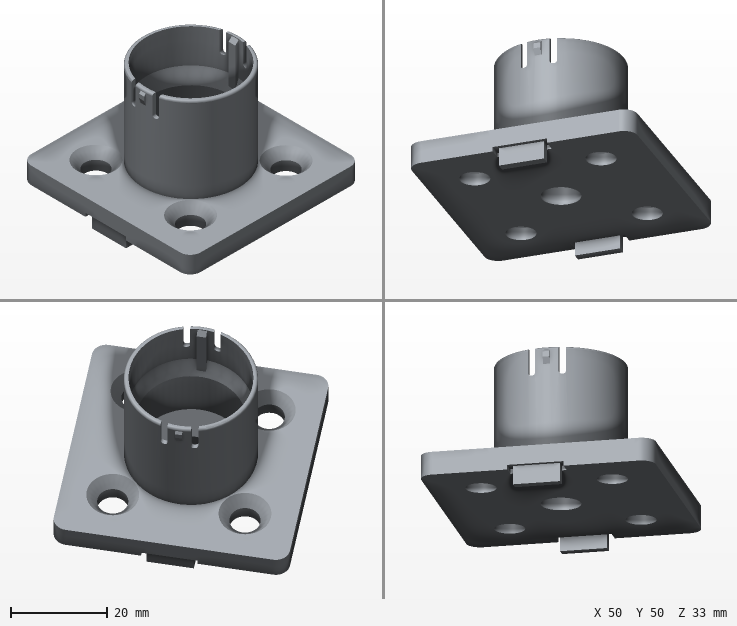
import cadquery as cq

plate_size = 50.0
plate_thickness = 5.0
corner_radius = 3.0

hole_offset = 14.0
hole_diameter = 6.5
countersink_diameter = 11.0
countersink_angle = 90.0

tube_radius = 14.0
tube_top = 30.0
wall = 1.0
rim_round = 0.6
bore_radius = tube_radius - wall
lower_bore_radius = 11.5
cone_top = tube_top - 10.0
cone_bottom = tube_top - 14.0
floor_top = plate_thickness
center_hole_diameter = 8.5

slot_offset = 3.25
slot_width = 1.5
slot_depth = 6.0
slot_corner_radius = 0.65

catch_width = 1.5
catch_reach = 0.5
catch_top = tube_top - 0.65
catch_bottom = tube_top - 3.75
catch_upper_bevel = 0.5
catch_lower_bevel = 1.45

rib_width = 2.0
rib_face = 12.0
rib_top = tube_top - 0.25
rib_bevel = bore_radius - rib_face

tab_width = 10.0
tab_thickness = 2.0
tab_drop = 3.0
tab_outer_face = plate_size / 2 - 1.0
notch_width = 12.0
notch_height = 1.0


def box(width, y_start, y_end, z_start, z_end, x_center=0.0):
    """Box centered on x_center, spanning the given Y and Z ranges."""
    return cq.Workplane("XY").box(
        width, y_end - y_start, z_end - z_start, centered=(True, False, False)
    ).translate((x_center, y_start, z_start))


def yz_prism(points, width):
    """Prism with a YZ outline, centered on X = 0."""
    return cq.Workplane("YZ").polyline(points).close().extrude(width / 2, both=True)


def both_sides(shape):
    """The shape together with its half-turn copy about Z."""
    return shape.union(shape.rotate((0, 0, 0), (0, 0, 1), 180))


def make_plate():
    plate = box(plate_size, -plate_size / 2, plate_size / 2, 0, plate_thickness)
    plate = plate.edges("|Z").fillet(corner_radius)
    return (
        plate.faces(">Z").workplane()
        .rect(2 * hole_offset, 2 * hole_offset, forConstruction=True)
        .vertices()
        .cskHole(hole_diameter, countersink_diameter, countersink_angle)
    )


def make_tube():
    height = tube_top - plate_thickness
    tube = cq.Workplane("XY").workplane(offset=plate_thickness).circle(tube_radius).extrude(height)
    return tube.faces(">Z").edges().fillet(rim_round)


def make_bore():
    profile = [
        (0, floor_top),
        (lower_bore_radius, floor_top),
        (lower_bore_radius, cone_bottom),
        (bore_radius, cone_top),
        (bore_radius, tube_top),
        (0, tube_top),
    ]
    bore = cq.Workplane("XZ").polyline(profile).close().revolve(360, (0, 0, 0), (0, 1, 0))
    center_hole = cq.Workplane("XY").circle(center_hole_diameter / 2).extrude(tube_top)
    return bore.union(center_hole)


def make_slots():
    slots = cq.Workplane("XY")
    for x in (-slot_offset, slot_offset):
        slot = box(slot_width, rib_face, tube_radius, tube_top - slot_depth, tube_top, x)
        slots = slots.add(slot.edges("|Y and <Z").fillet(slot_corner_radius))
    return both_sides(slots.combine())


def make_catches():
    root = tube_radius - wall / 2
    crest = tube_radius + catch_reach
    profile = [
        (root, catch_bottom),
        (tube_radius, catch_bottom),
        (crest, catch_bottom + catch_lower_bevel),
        (crest, catch_top - catch_upper_bevel),
        (tube_radius, catch_top),
        (root, catch_top),
    ]
    return both_sides(yz_prism(profile, catch_width))


def make_ribs():
    root = tube_radius - wall / 2
    profile = [
        (rib_face, cone_bottom),
        (root, cone_bottom),
        (root, rib_top),
        (bore_radius, rib_top),
        (rib_face, rib_top - rib_bevel),
    ]
    return both_sides(yz_prism(profile, rib_width))


def make_notches():
    inner_face = tab_outer_face - tab_thickness
    return both_sides(box(notch_width, inner_face, plate_size / 2, 0, notch_height))


def make_tabs():
    inner_face = tab_outer_face - tab_thickness
    return both_sides(box(tab_width, inner_face, tab_outer_face, -tab_drop, notch_height))


result = (
    make_plate()
    .union(make_tube())
    .cut(make_bore())
    .cut(make_slots())
    .union(make_catches())
    .union(make_ribs())
    .cut(make_notches())
    .union(make_tabs())
)